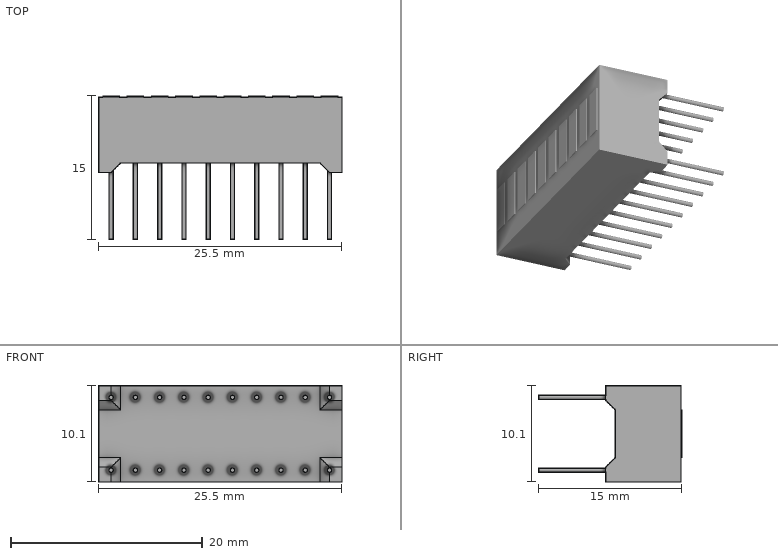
import cadquery as cq

BODY_LENGTH = 25.5
BODY_WIDTH = 10.1
BODY_DEPTH = 7.9
FOOT_HEIGHT = 1.0
FOOT_TIP_LENGTH = 1.32
FOOT_TIP_WIDTH = 1.55
FOOT_FLARE = 1.0

PIN_COUNT = 10
PIN_PITCH = 2.54
PIN_ROW_SPACING = 7.62
PIN_DIAMETER = 0.45
PIN_LENGTH = 7.0

SEGMENT_LENGTH = 1.75
SEGMENT_WIDTH = 5.0
SEGMENT_HEIGHT = 0.1

pin_positions_x = [(i - (PIN_COUNT - 1) / 2) * PIN_PITCH for i in range(PIN_COUNT)]


def make_block():
    """Plain housing from its underside to the display face."""
    return cq.Workplane("XY").box(
        BODY_LENGTH, BODY_DEPTH - FOOT_HEIGHT, BODY_WIDTH, centered=(True, False, True)
    ).translate((0, FOOT_HEIGHT, 0))


def channel(outline_plane, span, tip, run_length):
    """Trapezoidal channel through the body, between the feet along one direction."""
    half_tip = span / 2 - tip
    half_root = half_tip - FOOT_FLARE
    outline = [
        (-half_tip, 0),
        (half_tip, 0),
        (half_root, FOOT_HEIGHT),
        (-half_root, FOOT_HEIGHT),
    ]
    return cq.Workplane(outline_plane).polyline(outline).close().extrude(run_length / 2, both=True)


def make_feet():
    """Four corner feet, left standing where two crossing channels are removed."""
    feet = cq.Workplane("XY").box(
        BODY_LENGTH, FOOT_HEIGHT, BODY_WIDTH, centered=(True, False, True)
    )
    across_length = channel("XY", BODY_LENGTH, FOOT_TIP_LENGTH, BODY_WIDTH)
    across_width = channel("ZY", BODY_WIDTH, FOOT_TIP_WIDTH, BODY_LENGTH)
    return feet.cut(across_length).cut(across_width)


def make_pins():
    """Two rows of round pins, rooted at the underside of the housing."""
    half_spacing = PIN_ROW_SPACING / 2
    centers = [(x, z) for x in pin_positions_x for z in (-half_spacing, half_spacing)]
    return (
        cq.Workplane("XZ", origin=(0, FOOT_HEIGHT, 0))
        .pushPoints(centers)
        .circle(PIN_DIAMETER / 2)
        .extrude(FOOT_HEIGHT + PIN_LENGTH)
    )


def make_segments():
    """One raised light bar opposite each pin pair."""
    return (
        cq.Workplane("XZ", origin=(0, BODY_DEPTH, 0))
        .pushPoints([(x, 0) for x in pin_positions_x])
        .rect(SEGMENT_LENGTH, SEGMENT_WIDTH)
        .extrude(-SEGMENT_HEIGHT)
    )


result = make_block().union(make_feet()).union(make_pins()).union(make_segments())